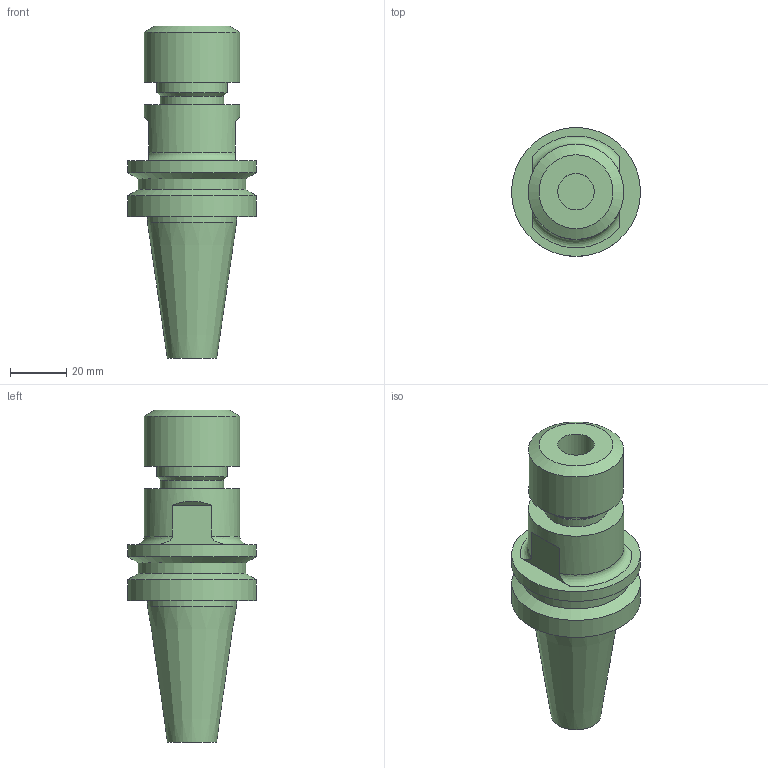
import cadquery as cq
import math


gauge_diameter = 31.75
taper_length = 48.4
taper_ratio = 7 / 24
tail_diameter = gauge_diameter - taper_ratio * taper_length

flange_diameter = 46.0
flange_bottom = 2.0
flange_thickness = 20.0
flange_top = flange_bottom + flange_thickness
groove_diameter = 38.2
groove_floor_width = 3.8
groove_center_z = 13.6
groove_side_angle = 30.0

collar_diameter = 34.0
collar_height = 20.0
collar_top = flange_top + collar_height
collar_fillet = 3.0
flat_spacing = 31.0
flat_top = collar_top - 6.0

undercut_diameter = 22.5
undercut_height = 3.0
thread_diameter = 25.0
thread_runout = (thread_diameter - undercut_diameter) / 2
neck_height = 8.0

nut_diameter = 34.0
nut_height = 20.0
nut_bottom = collar_top + neck_height
nut_top = nut_bottom + nut_height
nut_chamfer_height = 2.2
nut_chamfer_angle = 30.0
bore_diameter = 13.0
bore_depth = nut_height


def slope_height(radial_step, angle):
    """Axial height of a cone that covers a radial step at the given slope."""
    return radial_step * math.tan(math.radians(angle))


def make_body():
    """Revolve the half profile, drawn from the tail up to the nut face."""
    flange_radius = flange_diameter / 2
    groove_radius = groove_diameter / 2
    collar_radius = collar_diameter / 2
    undercut_radius = undercut_diameter / 2
    thread_radius = thread_diameter / 2
    nut_radius = nut_diameter / 2
    gauge_radius = gauge_diameter / 2

    groove_side = slope_height(flange_radius - groove_radius, groove_side_angle)
    groove_floor_bottom = groove_center_z - groove_floor_width / 2
    groove_floor_top = groove_center_z + groove_floor_width / 2

    undercut_top = collar_top + undercut_height
    nut_face_radius = nut_radius - nut_chamfer_height / math.tan(math.radians(nut_chamfer_angle))

    fillet_offset = collar_fillet * (1 - math.sqrt(0.5))
    fillet_middle = (collar_radius + fillet_offset, flange_top + fillet_offset)

    profile = (
        cq.Workplane("XZ")
        .moveTo(0, -taper_length)
        .lineTo(tail_diameter / 2, -taper_length)
        .lineTo(gauge_radius, 0)
        .lineTo(gauge_radius, flange_bottom)
        .lineTo(flange_radius, flange_bottom)
        .lineTo(flange_radius, groove_floor_bottom - groove_side)
        .lineTo(groove_radius, groove_floor_bottom)
        .lineTo(groove_radius, groove_floor_top)
        .lineTo(flange_radius, groove_floor_top + groove_side)
        .lineTo(flange_radius, flange_top)
        .lineTo(collar_radius + collar_fillet, flange_top)
        .threePointArc(fillet_middle, (collar_radius, flange_top + collar_fillet))
        .lineTo(collar_radius, collar_top)
        .lineTo(undercut_radius, collar_top)
        .lineTo(undercut_radius, undercut_top)
        .lineTo(thread_radius, undercut_top + thread_runout)
        .lineTo(thread_radius, nut_bottom)
        .lineTo(nut_radius, nut_bottom)
        .lineTo(nut_radius, nut_top - nut_chamfer_height)
        .lineTo(nut_face_radius, nut_top)
        .lineTo(0, nut_top)
        .close()
    )
    return profile.revolve(360, (0, 0, 0), (0, 1, 0))


def make_flat_cutter(side):
    """Block that mills one wrench flat; side is +1 or -1 along X."""
    inner_x = side * flat_spacing / 2
    outer_x = side * flange_diameter / 2
    runout = flange_diameter / 2 - flat_spacing / 2
    return (
        cq.Workplane("XZ")
        .moveTo(inner_x, flange_top)
        .lineTo(outer_x, flange_top)
        .lineTo(outer_x, flat_top + runout)
        .lineTo(inner_x, flat_top)
        .close()
        .extrude(flange_diameter / 2, both=True)
    )


def make_bore():
    """Blind collet bore, open at the nut face."""
    return (
        cq.Workplane("XY")
        .workplane(offset=nut_top - bore_depth)
        .circle(bore_diameter / 2)
        .extrude(bore_depth)
    )


result = make_body().cut(make_bore())
for side in (-1, 1):
    result = result.cut(make_flat_cutter(side))